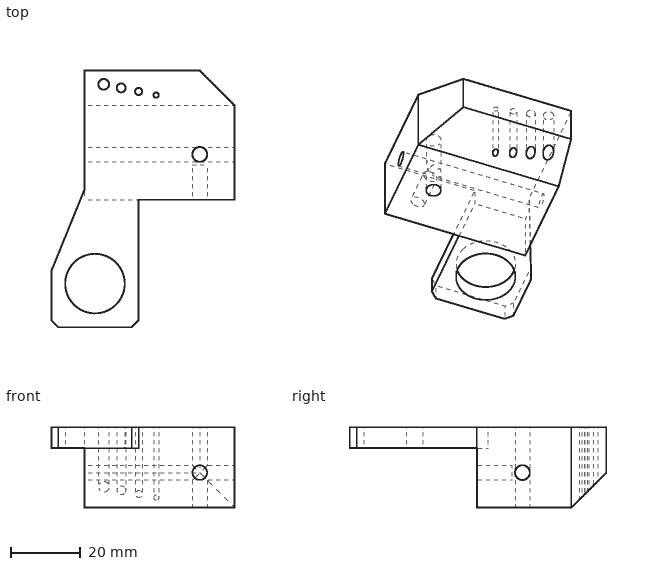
import cadquery as cq

width = 52.5
length = 73.5
height = 23.0

arm_width = 25
arm_thickness = 6.0
arm_corner = 2.0
arm_straight = 16.2
taper_end = 39.5
ring_diameter = 17.0

block_left = 9.5
block_front = 36.45
block_chamfer = 10.0

drill_diameter = 4.2
drill_x = width - block_chamfer
drill_y = 49.5
drill_z = 10.0
front_drill_depth = 10.0

gauge_diameters = [3.0, 2.5, 2.0, 1.5]
gauge_x = 15.0
gauge_y = 69.5
gauge_step_x = 5.0
gauge_step_y = -1.0


def make_block():
    """Rectangular block with one vertical corner and the rear bottom edge bevelled."""
    block = cq.Workplane("XY").box(
        width - block_left, length - block_front, height, centered=False
    ).translate((block_left, block_front, 0))
    block = block.edges("|Z and >X and >Y").chamfer(block_chamfer)
    return block.faces("<Z").edges(">Y").chamfer(block_chamfer)


def make_arm():
    """Flat arm, flush with the block top, widening towards its free end."""
    return (
        cq.Workplane("XY", origin=(0, 0, height - arm_thickness))
        .moveTo(arm_corner, 0)
        .lineTo(arm_width - arm_corner, 0)
        .lineTo(arm_width, arm_corner)
        .lineTo(arm_width, taper_end)
        .lineTo(block_left, taper_end)
        .lineTo(0, arm_straight)
        .lineTo(0, arm_corner)
        .close()
        .extrude(arm_thickness)
    )


def vertical_hole(x, y, diameter):
    return cq.Workplane("XY").center(x, y).circle(diameter / 2).extrude(height)


result = make_block().union(make_arm())

result = result.cut(vertical_hole(arm_width / 2, arm_width / 2, ring_diameter))

for index, diameter in enumerate(gauge_diameters):
    x = gauge_x + index * gauge_step_x
    y = gauge_y + index * gauge_step_y
    result = result.cut(vertical_hole(x, y, diameter))

result = result.cut(vertical_hole(drill_x, drill_y, drill_diameter))
side_drill = cq.Workplane("YZ").center(drill_y, drill_z).circle(drill_diameter / 2).extrude(width)
result = result.cut(side_drill)

front_drill = (
    cq.Workplane("XZ", origin=(drill_x, block_front, drill_z))
    .circle(drill_diameter / 2)
    .extrude(-front_drill_depth)
)
result = result.cut(front_drill)